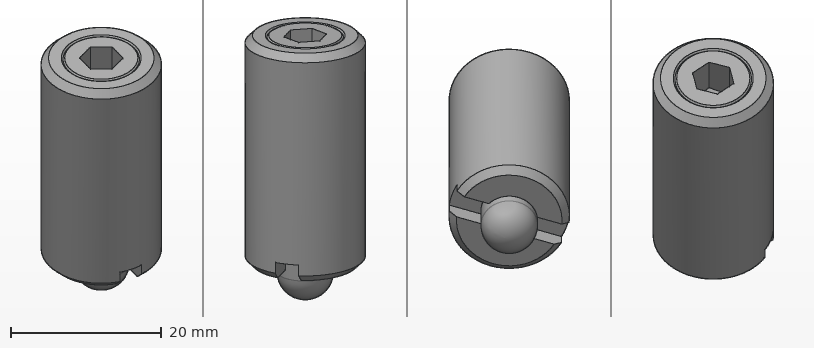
import cadquery as cq
import math

housing_diameter = 16.0
housing_radius = housing_diameter / 2
end_chamfer = 1.0
slot_width = 3.25
slot_depth = 2.5

overall_length = 37.0
nose_radius = 3.755
nose_projection = 5.0
housing_length = overall_length - nose_projection
plug_radius = 5.07
plug_length = 10.0
rim_chamfer = 0.22

hex_across_flats = 5.0
hex_across_corners = hex_across_flats / math.cos(math.radians(30))
hex_depth = 5.0
socket_cone_half_angle = 60.0


def make_core():
    """Revolved core: plug, stem and hemispherical nose; it also shapes the housing bore."""
    sphere_center = nose_radius - nose_projection
    plug_bottom = housing_length - plug_length
    arc_offset = nose_radius * math.sqrt(0.5)
    return (
        cq.Workplane("XZ")
        .moveTo(0, -nose_projection)
        .threePointArc((arc_offset, sphere_center - arc_offset), (nose_radius, sphere_center))
        .lineTo(nose_radius, plug_bottom)
        .lineTo(plug_radius, plug_bottom)
        .lineTo(plug_radius, housing_length)
        .lineTo(0, housing_length)
        .close()
        .revolve(360, (0, 0), (0, 1))
    )


def make_housing(core):
    """Chamfered sleeve with a stepped bore, a countersunk rim and a cross slot in its bottom."""
    sleeve = cq.Workplane("XY").circle(housing_radius).extrude(housing_length)
    sleeve = sleeve.faces("<Z or >Z").edges().chamfer(end_chamfer)
    slot = cq.Workplane("XY").box(housing_diameter, slot_width, slot_depth, centered=(True, True, False))
    sleeve = sleeve.cut(slot).cut(core)
    return sleeve.faces(">Z").edges("%CIRCLE").edges(cq.selectors.RadiusNthSelector(0)).chamfer(rim_chamfer)


def make_socket():
    """Hexagonal prism ending in a cone that spans the hexagon corners."""
    corner_radius = hex_across_corners / 2
    cone_height = corner_radius / math.tan(math.radians(socket_cone_half_angle))
    socket_bottom = housing_length - hex_depth
    prism = (
        cq.Workplane("XY")
        .workplane(offset=socket_bottom)
        .polygon(6, hex_across_corners)
        .extrude(hex_depth)
    )
    cone = (
        cq.Workplane("XZ")
        .moveTo(0, socket_bottom)
        .lineTo(corner_radius, socket_bottom)
        .lineTo(0, socket_bottom - cone_height)
        .close()
        .revolve(360, (0, 0), (0, 1))
    )
    hexagon_column = cq.Workplane("XY").polygon(6, hex_across_corners).extrude(housing_length)
    return prism.union(cone.intersect(hexagon_column))


def make_plunger(core):
    """Core with a chamfered top rim and the hexagon socket."""
    return core.faces(">Z").edges().chamfer(rim_chamfer).cut(make_socket())


core = make_core()
housing = make_housing(core)
plunger = make_plunger(core)

result = cq.Compound.makeCompound([housing.val(), plunger.val()])